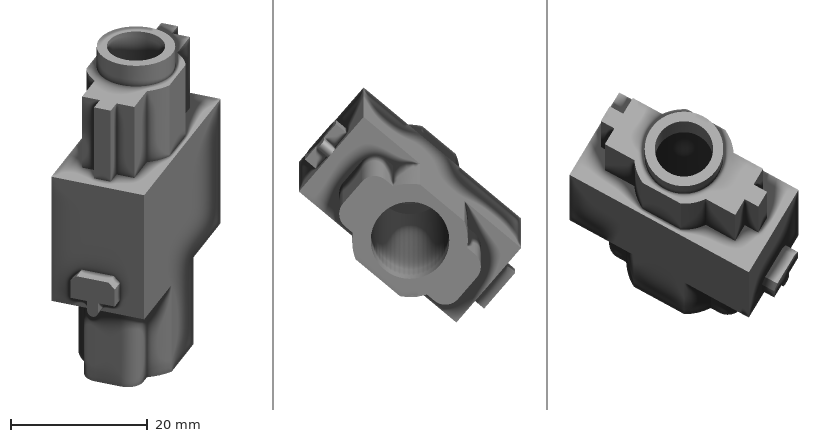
import cadquery as cq

body_width = 14.65
body_length = 30.25
key_span = 34.4
key_depth = (key_span - body_length) / 2

base_height = 14.7
body_height = 21.0
neck_height = 12.0
collar_height = 3.5

body_bottom = base_height
body_top = body_bottom + body_height
neck_top = body_top + neck_height
collar_top = neck_top + collar_height

base_radius = 8.45
wing_width = 9.15
wing_length = 22.1
wing_corner_radius = 2.45

neck_radius = 7.3
neck_width = 13.1
neck_wing_width = 8.2
neck_wing_length = 22.0
neck_rib_width = 2.6
neck_rib_length = 26.55

collar_diameter = 11.5
bore_diameter = 8.5
bore_lip_height = 5.1
cavity_diameter = 11.5

key_width = 7.0
key_height = 3.85
key_chamfer = 1.0
tail_width = 1.7
tail_length = 2.45
key_bottom = body_bottom + tail_length

pip_width = 1.7
pip_thickness = 0.2
pip_drop = 0.15
pip_angle = 135.7


def block(width, length, height, bottom):
    """A box centred on the Z axis, standing on the given level."""
    return cq.Workplane("XY").workplane(offset=bottom).rect(width, length).extrude(height)


def cylinder(diameter, height, bottom):
    """A cylinder on the Z axis, standing on the given level."""
    return cq.Workplane("XY").workplane(offset=bottom).circle(diameter / 2).extrude(height)


def flatted_core(radius, width, height, bottom):
    """A cylinder cut by two flats, leaving the given width along X."""
    return cylinder(2 * radius, height, bottom).intersect(block(width, 2 * radius, height, bottom))


def make_base():
    core = flatted_core(base_radius, body_width, base_height, 0)
    wing = block(wing_width, wing_length, base_height, 0).edges("|Z").fillet(wing_corner_radius)
    return core.union(wing)


def make_neck():
    core = flatted_core(neck_radius, neck_width, neck_height, body_top)
    wing = block(neck_wing_width, neck_wing_length, neck_height, body_top)
    rib = block(neck_rib_width, neck_rib_length, neck_height, body_top)
    return core.union(wing).union(rib)


def make_key(side):
    """A key on the +Y (side = 1) or -Y (side = -1) end, chamfered along its upper corners."""
    center_y = side * (body_length + key_depth) / 2
    key = cq.Workplane("XY").box(key_width, key_depth, key_height, centered=(True, True, False))
    key = key.edges("|Y and >Z").chamfer(key_chamfer)
    return key.translate((0, center_y, key_bottom))


def make_tail():
    """The round-ended tail that runs down from the -Y key to the bottom of the body."""
    radius = tail_width / 2
    return (
        cq.Workplane("XZ", origin=(0, -body_length / 2, 0))
        .moveTo(-radius, key_bottom)
        .lineTo(-radius, body_bottom + radius)
        .threePointArc((0, body_bottom), (radius, body_bottom + radius))
        .lineTo(radius, key_bottom)
        .close()
        .extrude(key_depth)
    )


def make_pip():
    """A small pip that hangs below the base, flush with its round wall and rooted in it."""
    pip = block(2 * pip_thickness, pip_width, 2 * pip_drop, -pip_drop)
    pip = pip.translate((base_radius, 0, 0)).rotate((0, 0, 0), (0, 0, 1), pip_angle)
    return pip.intersect(cylinder(2 * base_radius, 2 * pip_drop, -pip_drop))


result = (
    make_base()
    .union(block(body_width, body_length, body_height, body_bottom))
    .union(make_neck())
    .union(cylinder(collar_diameter, collar_height, neck_top))
    .union(make_key(1))
    .union(make_key(-1))
    .union(make_tail())
    .union(make_pip())
    .cut(cylinder(bore_diameter, collar_top, 0))
    .cut(cylinder(cavity_diameter, collar_top - bore_lip_height, 0))
)